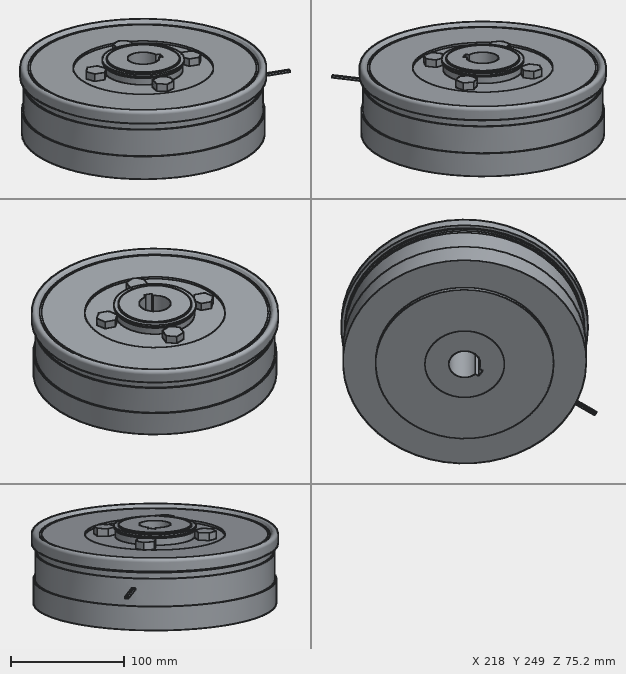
import cadquery as cq
TOTAL_HEIGHT = 75.2

BOSS_RADIUS = 78.7
BOSS_HEIGHT = 3.7
BASE_RADIUS = 107.5
BASE_TOP = 25.5
BODY_RADIUS = 106.0
BODY_TOP = 50.3
NECK_RADIUS = 104.5
AIR_GAP = 0.7

COVER_BOTTOM = 56.3
COVER_RADIUS = 109.0
SPIGOT_RADIUS = BODY_RADIUS
SPIGOT_HEIGHT = 1.5
RIM_ROUND_START = 66.0
RIM_INNER_RADIUS = 103.8
RIM_INNER_HEIGHT = 68.5
GROOVE_RADIUS = 101.8
GROOVE_FLOOR = 66.0
FACE_RADIUS = 100.0
FACE_HEIGHT = 66.2
RECESS_RADIUS = 62.0
RECESS_FLOOR = 64.2

HUB_RADIUS = 35.0
HUB_SHOULDER = 70.5
HUB_NECK_RADIUS = 33.5
FLANGE_RADIUS = 36.4
FLANGE_BOTTOM = 72.5
FLANGE_TOP = 74.2
HUB_TIP_RADIUS = 32.5
HUB_TIP_CHAMFER = 0.7
BORE_RADIUS = 14.0
KEYWAY_WIDTH = 6.7
KEYWAY_TOP = 17.2

BOLT_COUNT = 4
BOLT_CIRCLE_RADIUS = 45.3
BOLT_CORNER_DIAMETER = 19.2
BOLT_TOP = 71.2

WIRE_DIAMETER = 1.87
WIRE_SPACING = 2.0
WIRE_HEIGHT = 40.8
WIRE_END = 249 - COVER_RADIUS
WIRE_DEPTH = 2.5


def revolved(profile):
    """Turn a closed half profile, drawn as radius against height, about Z."""
    return profile.close().revolve(360, (0, 0), (0, 1))


def wire(x):
    """One straight round wire running along +Y, its root inside the housing wall."""
    start = BODY_RADIUS - WIRE_DEPTH
    return (
        cq.Workplane("XZ", origin=(x, start, WIRE_HEIGHT))
        .circle(WIRE_DIAMETER / 2)
        .extrude(start - WIRE_END)
    )


def make_housing(wires):
    neck_top = COVER_BOTTOM - AIR_GAP
    housing = revolved(
        cq.Workplane("XZ")
        .moveTo(HUB_RADIUS, 0)
        .lineTo(BOSS_RADIUS, 0)
        .lineTo(BOSS_RADIUS, BOSS_HEIGHT)
        .lineTo(BASE_RADIUS, BOSS_HEIGHT)
        .lineTo(BASE_RADIUS, BASE_TOP)
        .lineTo(BODY_RADIUS, BASE_TOP)
        .lineTo(BODY_RADIUS, BODY_TOP)
        .lineTo(NECK_RADIUS, BODY_TOP)
        .lineTo(NECK_RADIUS, neck_top)
        .lineTo(HUB_RADIUS, neck_top)
    )
    for lead in wires:
        housing = housing.cut(lead)
    return housing


def make_cover():
    flange_bottom = COVER_BOTTOM + SPIGOT_HEIGHT
    return revolved(
        cq.Workplane("XZ")
        .moveTo(HUB_RADIUS, COVER_BOTTOM)
        .lineTo(SPIGOT_RADIUS, COVER_BOTTOM)
        .lineTo(SPIGOT_RADIUS, flange_bottom)
        .lineTo(COVER_RADIUS, flange_bottom)
        .lineTo(COVER_RADIUS, RIM_ROUND_START)
        .tangentArcPoint((RIM_INNER_RADIUS, RIM_INNER_HEIGHT), relative=False)
        .lineTo(GROOVE_RADIUS, GROOVE_FLOOR)
        .lineTo(FACE_RADIUS, GROOVE_FLOOR)
        .lineTo(FACE_RADIUS, FACE_HEIGHT)
        .lineTo(RECESS_RADIUS, FACE_HEIGHT)
        .lineTo(RECESS_RADIUS, RECESS_FLOOR)
        .lineTo(HUB_RADIUS, RECESS_FLOOR)
    )


def make_hub():
    hub = revolved(
        cq.Workplane("XZ")
        .moveTo(BORE_RADIUS, 0)
        .lineTo(HUB_RADIUS, 0)
        .lineTo(HUB_RADIUS, HUB_SHOULDER)
        .lineTo(HUB_NECK_RADIUS, HUB_SHOULDER)
        .lineTo(HUB_NECK_RADIUS, FLANGE_BOTTOM)
        .lineTo(FLANGE_RADIUS, FLANGE_BOTTOM)
        .lineTo(FLANGE_RADIUS, FLANGE_TOP)
        .lineTo(HUB_TIP_RADIUS, FLANGE_TOP)
        .lineTo(HUB_TIP_RADIUS, TOTAL_HEIGHT - HUB_TIP_CHAMFER)
        .lineTo(HUB_TIP_RADIUS - HUB_TIP_CHAMFER, TOTAL_HEIGHT)
        .lineTo(BORE_RADIUS, TOTAL_HEIGHT)
    )
    keyway = (
        cq.Workplane("XY")
        .center(0, KEYWAY_TOP / 2)
        .rect(KEYWAY_WIDTH, KEYWAY_TOP)
        .extrude(TOTAL_HEIGHT)
    )
    return hub.cut(keyway)


def make_bolt(angle):
    """Hexagonal bolt head standing on the recess floor."""
    return (
        cq.Workplane("XY", origin=(0, 0, RECESS_FLOOR))
        .center(BOLT_CIRCLE_RADIUS, 0)
        .polygon(6, BOLT_CORNER_DIAMETER)
        .extrude(BOLT_TOP - RECESS_FLOOR)
        .rotate((0, 0, 0), (0, 0, 1), angle)
    )


wires = [wire(side * WIRE_SPACING / 2) for side in (-1, 1)]
bolts = [make_bolt(i * 360 / BOLT_COUNT) for i in range(BOLT_COUNT)]
housing = make_housing(wires)
cover = make_cover()
hub = make_hub()

result = cq.Compound.makeCompound(
    [
        housing.val(),
        cover.val(),
        hub.val(),
        *[bolt.val() for bolt in bolts],
        *[lead.val() for lead in wires],
    ]
)